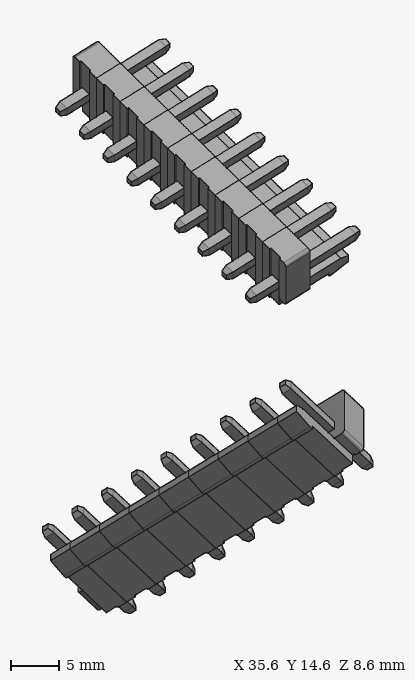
import cadquery as cq


module_count = 9
row_length = 35.58
overall_height = 8.6
end_trim = 0.05
pitch = (row_length + 2 * end_trim) / module_count

wall_depth = 3.2
wall_height = 8.15
end_corner_radius = 0.4

groove_width = 1.6
groove_depth = 0.18

pin_width = 1.17
pin_height = 1.15
pin_axis_z = 3.35
pin_front = -3.52
pin_back = 11.05
pin_taper_length = 0.7
pin_taper_inset = 0.2

shelf_thickness = 1.35
shelf_back = 9.43
tip_slope_length = 1.05
tip_slope_drop = 0.35
hook_catch_y = 6.83
hook_drop = overall_height - wall_height
hook_flat = 0.4

shelf_end_inset = (pitch - pin_width) / 2 - end_trim


def box_between(x_start, x_end, y_start, y_end, z_start, z_end):
    """Box given by its limits along the three axes."""
    size = (x_end - x_start, y_end - y_start, z_end - z_start)
    return cq.Workplane("XY").box(*size, centered=False).translate((x_start, y_start, z_start))


def make_wall(x_start, x_end):
    """Plain stretch of the wall block."""
    return box_between(x_start, x_end, 0, wall_depth, 0, wall_height)


def make_shelf(x_start, x_end):
    """Latch shelf with its hook: a YZ profile extruded along X."""
    profile = [
        (0, 0),
        (hook_catch_y, 0),
        (hook_catch_y, -hook_drop),
        (hook_catch_y + hook_flat, -hook_drop),
        (shelf_back, 0),
        (shelf_back, shelf_thickness - tip_slope_drop),
        (shelf_back - tip_slope_length, shelf_thickness),
        (0, shelf_thickness),
    ]
    outline = cq.Workplane("YZ").workplane(offset=x_start).polyline(profile).close()
    return outline.extrude(x_end - x_start)


def cut_end_notch(body, x_end, side):
    """Clear the shelf zone at the outer end of the row and round the two end corners of the wall."""
    shelf_end = x_end - side * shelf_end_inset
    notch_limits = sorted((shelf_end, x_end))
    notch = box_between(*notch_limits, 0, shelf_back, -hook_drop, shelf_thickness)
    end_face = ">X" if side > 0 else "<X"
    return body.cut(notch).faces(end_face).edges("|Y").fillet(end_corner_radius)


def cut_groove(body, pin_x):
    """Cut the shallow full-height groove in the front of the wall."""
    groove = box_between(
        pin_x - groove_width / 2, pin_x + groove_width / 2, 0, groove_depth, 0, wall_height
    )
    return body.cut(groove)


def make_pin_taper(pin_x, base_y, tip_y):
    """Tapered pin tip running from its full-size base to its smaller end."""
    base_center = (pin_x, base_y, pin_axis_z)
    toward_tip = (0, tip_y - base_y, 0)
    base_plane = cq.Plane(origin=base_center, xDir=(1, 0, 0), normal=toward_tip)
    return (
        cq.Workplane(base_plane)
        .rect(pin_width, pin_height)
        .workplane(offset=pin_taper_length)
        .rect(pin_width - 2 * pin_taper_inset, pin_height - 2 * pin_taper_inset)
        .loft(ruled=True)
    )


def make_pin(pin_x):
    """Straight rectangular pin with a taper at both tips."""
    shaft_front = pin_front + pin_taper_length
    shaft_back = pin_back - pin_taper_length
    shaft = box_between(
        pin_x - pin_width / 2, pin_x + pin_width / 2,
        shaft_front, shaft_back,
        pin_axis_z - pin_height / 2, pin_axis_z + pin_height / 2,
    )
    front_tip = make_pin_taper(pin_x, shaft_front, pin_front)
    back_tip = make_pin_taper(pin_x, shaft_back, pin_back)
    return shaft.union(front_tip).union(back_tip)


def make_module(index):
    """One contact module; the first and last carry the notched, rounded ends of the row."""
    pin_x = (index - (module_count - 1) / 2) * pitch
    x_start = max(pin_x - pitch / 2, -row_length / 2)
    x_end = min(pin_x + pitch / 2, row_length / 2)

    body = make_wall(x_start, x_end).union(make_shelf(x_start, x_end))
    if index == 0:
        body = cut_end_notch(body, x_start, -1)
    if index == module_count - 1:
        body = cut_end_notch(body, x_end, 1)
    return cut_groove(body, pin_x).union(make_pin(pin_x))


modules = [make_module(index) for index in range(module_count)]

result = cq.Compound.makeCompound([module.val() for module in modules])